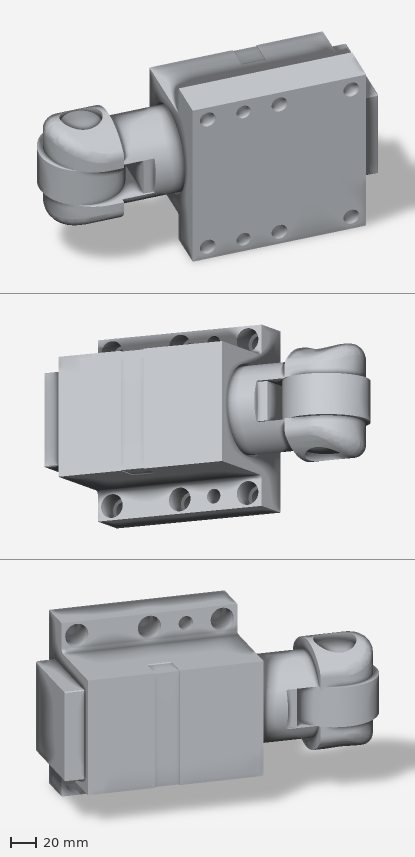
import cadquery as cq
import math


OVERALL_LENGTH = 267.8

HOUSING_WIDTH = 100.0
HOUSING_LENGTH = 145.0
FLANGE_HEIGHT = 145.0
FLANGE_THICKNESS = 32.5
BLOCK_HEIGHT = 96.0
FLANGE_FILLET = 3.2
AXIS_TO_SIDE = 45.0
SIDE_X = -AXIS_TO_SIDE
FLANGE_BACK_X = SIDE_X + HOUSING_WIDTH
FLANGE_FACE_X = FLANGE_BACK_X - FLANGE_THICKNESS
MIDDLE_Y = HOUSING_LENGTH / 2

HOLE_PITCH = 60.0
HOLE_Z = 61.0
BOLT_HOLE_DIAMETER = 13.0
COUNTERBORE_DIAMETER = 19.0
COUNTERBORE_DEPTH = 20.0
DOWEL_HOLE_DIAMETER = 11.8

BAND_WIDTH = 20.0
BAND_REACH = 21.2
BAND_DEPTH = 0.5
BAND_RUNOUT = 1.5
BAND_Y = 79.5

CAP_SIZE = 75.3
CAP_THICKNESS = 16.5
CAP_CHAMFER = 0.8

PLUNGER_RADIUS = 35.0
MOUTH_GROOVE = 2.0

ROLLER_RADIUS = 34.8
ROLLER_WIDTH = 33.0
ROLLER_TIP_Y = HOUSING_LENGTH + CAP_THICKNESS - OVERALL_LENGTH
ROLLER_X = -5.0
ROLLER_Y = ROLLER_TIP_Y + ROLLER_RADIUS
AXLE_RADIUS = 16.0
AXLE_LENGTH = 77.7
AXLE_CLEARANCE = 0.95

FORK_CROWN_RADIUS = 45.0
FORK_BACK_Y = -50.0
FORK_FILLET = 10.0
SHORT_ARC_RADIUS = PLUNGER_RADIUS + ROLLER_X
LONG_ARC_RADIUS = PLUNGER_RADIUS - ROLLER_X
FORK_TIP_Y = ROLLER_Y - SHORT_ARC_RADIUS

SLOT_FLOOR_Y = -23.3
TONGUE_WIDTH = 60.0
TONGUE_HEIGHT = 31.5
TONGUE_END_Y = -32.1


def block(x_range, y_range, z_range):
    """Box between two limits along each axis."""
    lows, highs = zip(x_range, y_range, z_range)
    sizes = [high - low for low, high in zip(lows, highs)]
    return cq.Workplane("XY").box(*sizes, centered=False).translate(lows)


def cylinder_along_y(radius, y_start, y_end):
    return cq.Workplane("XZ", origin=(0, y_start, 0)).circle(radius).extrude(y_start - y_end)


def cylinder_along_z(radius, height):
    """Cylinder on the roller axis, centered on z = 0."""
    return cq.Workplane("XY", origin=(ROLLER_X, ROLLER_Y, -height / 2)).circle(radius).extrude(height)


def flange_hole(diameter, depth, y, z):
    """Cutter sunk from the -X face of the flange toward +X."""
    return cq.Workplane("YZ", origin=(FLANGE_FACE_X, y, z)).circle(diameter / 2).extrude(depth)


def housing_block():
    half_block = BLOCK_HEIGHT / 2
    half_flange = FLANGE_HEIGHT / 2
    body = block((SIDE_X, FLANGE_BACK_X), (0, HOUSING_LENGTH), (-half_block, half_block))
    flange = block((FLANGE_FACE_X, FLANGE_BACK_X), (0, HOUSING_LENGTH), (-half_flange, half_flange))
    body = body.union(flange)
    corners = cq.selectors.BoxSelector(
        (FLANGE_FACE_X - 0.3, -2.7, -half_block - 0.3),
        (FLANGE_FACE_X + 0.3, HOUSING_LENGTH + 2.7, half_block + 0.3),
    )
    return body.edges("|Y").edges(corners).fillet(FLANGE_FILLET)


def cut_flange_holes(body):
    for z in (-HOLE_Z, HOLE_Z):
        for step in (-1, 0, 1):
            y = MIDDLE_Y + step * HOLE_PITCH
            body = body.cut(flange_hole(BOLT_HOLE_DIAMETER, FLANGE_THICKNESS, y, z))
            body = body.cut(flange_hole(COUNTERBORE_DIAMETER, COUNTERBORE_DEPTH, y, z))
        dowel_y = MIDDLE_Y - HOLE_PITCH / 2
        body = body.cut(flange_hole(DOWEL_HOLE_DIAMETER, FLANGE_THICKNESS, dowel_y, z))
    return body


def band_cutter():
    """C-shaped layer around the -X half of the block, with sloped ends."""
    surface_z = BLOCK_HEIGHT / 2
    floor_z = surface_z - BAND_DEPTH
    end_x = SIDE_X + BAND_REACH
    floor_end_x = end_x - BAND_RUNOUT
    floor_x = SIDE_X + BAND_DEPTH
    outline = [
        (SIDE_X, surface_z), (end_x, surface_z), (floor_end_x, floor_z), (floor_x, floor_z),
        (floor_x, -floor_z), (floor_end_x, -floor_z), (end_x, -surface_z), (SIDE_X, -surface_z),
    ]
    plane = cq.Workplane("XZ", origin=(0, BAND_Y, 0))
    return plane.polyline(outline).close().extrude(BAND_WIDTH / 2, both=True)


def end_cap():
    half = CAP_SIZE / 2
    cap = block((-half, half), (HOUSING_LENGTH, HOUSING_LENGTH + CAP_THICKNESS), (-half, half))
    return cap.edges().chamfer(CAP_CHAMFER)


def mouth_groove():
    """Conical cutter that flares toward the front face of the housing."""
    profile = [
        (PLUNGER_RADIUS, 0),
        (PLUNGER_RADIUS + MOUTH_GROOVE, 0),
        (PLUNGER_RADIUS, MOUTH_GROOVE),
    ]
    return cq.Workplane("XY").polyline(profile).close().revolve(360, (0, 0, 0), (0, 1, 0))


def fork_head():
    """Crowned head whose end is two arcs of different radius, tangent at the tip."""
    diagonal = math.sqrt(0.5)
    short_middle = (ROLLER_X - SHORT_ARC_RADIUS * diagonal, ROLLER_Y - SHORT_ARC_RADIUS * diagonal)
    long_center_y = FORK_TIP_Y + LONG_ARC_RADIUS
    long_middle = (ROLLER_X + LONG_ARC_RADIUS * diagonal, long_center_y - LONG_ARC_RADIUS * diagonal)
    outline = (
        cq.Workplane("XY")
        .moveTo(-PLUNGER_RADIUS, FORK_BACK_Y)
        .lineTo(-PLUNGER_RADIUS, ROLLER_Y)
        .threePointArc(short_middle, (ROLLER_X, FORK_TIP_Y))
        .threePointArc(long_middle, (PLUNGER_RADIUS, long_center_y))
        .lineTo(PLUNGER_RADIUS, FORK_BACK_Y)
        .close()
        .extrude(FORK_CROWN_RADIUS, both=True)
    )
    crown = cylinder_along_y(FORK_CROWN_RADIUS, FORK_BACK_Y, FORK_TIP_Y)
    return outline.intersect(crown).edges("not(|Z or >Y)").fillet(FORK_FILLET)


def plunger():
    half_slot = ROLLER_WIDTH / 2
    half_width = TONGUE_WIDTH / 2
    half_height = TONGUE_HEIGHT / 2
    body = cylinder_along_y(PLUNGER_RADIUS, 0, FORK_BACK_Y).union(fork_head())
    slot = block(
        (-FORK_CROWN_RADIUS, FORK_CROWN_RADIUS), (FORK_TIP_Y, SLOT_FLOOR_Y), (-half_slot, half_slot)
    )
    tongue = block((-half_width, half_width), (TONGUE_END_Y, SLOT_FLOOR_Y), (-half_height, half_height))
    axle_hole = cylinder_along_z(AXLE_RADIUS + AXLE_CLEARANCE, 2 * FORK_CROWN_RADIUS)
    return body.cut(slot).union(tongue).cut(axle_hole)


def make_housing():
    """Housing with its end cap and forked plunger, as one solid."""
    body = cut_flange_holes(housing_block())
    body = body.cut(band_cutter()).cut(mouth_groove())
    return body.union(end_cap()).union(plunger())


def make_roller():
    """Roller with its axle, as one solid."""
    return cylinder_along_z(ROLLER_RADIUS, ROLLER_WIDTH).union(cylinder_along_z(AXLE_RADIUS, AXLE_LENGTH))


housing = make_housing()
roller = make_roller()

result = cq.Compound.makeCompound([housing.val(), roller.val()])